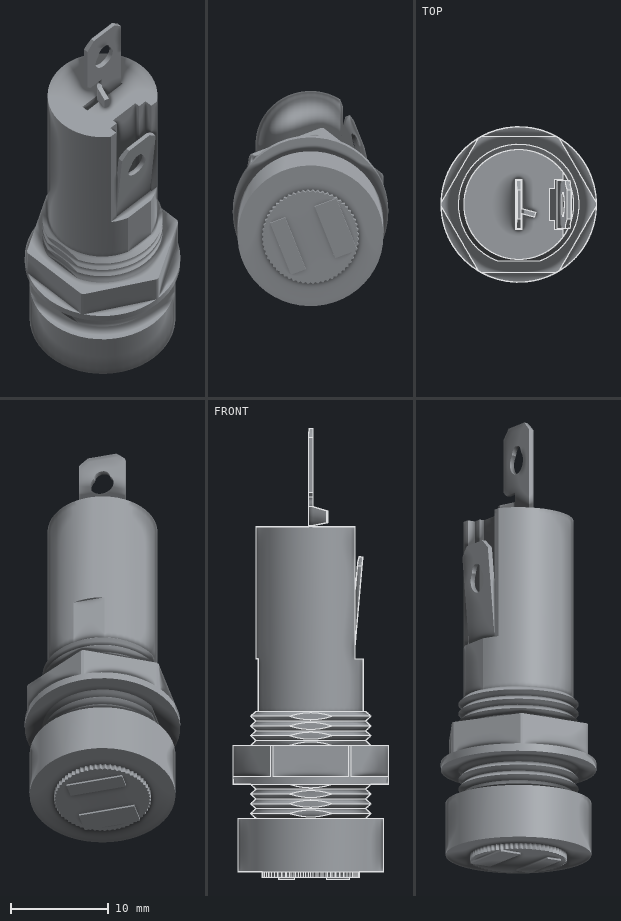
import cadquery as cq
import math


total_height = 46.4
mark_height = 0.2
knurl_height = 0.6
head_height = 5.5
thread_length = 11.0
washer_gap = 3.5
washer_thickness = 0.8
nut_height = 3.2
body_length = 30.0
flat_length = 5.4

knurl_bottom = mark_height
head_bottom = knurl_bottom + knurl_height
head_top = head_bottom + head_height
washer_bottom = head_top + washer_gap
nut_bottom = washer_bottom + washer_thickness
thread_top = head_top + thread_length
ledge_level = thread_top + flat_length
body_top = head_top + body_length

head_diameter = 15.0
washer_diameter = 16.0
nut_across_flats = 14.0
nut_corner_diameter = 16.0
nut_turn = 30.0
body_radius = 5.65
thread_radius = 6.2
thread_pitch = 1.0
thread_flat_distance = 5.8
body_flat_distance = 5.4
contact_flat_distance = 4.55

knurl_radius = 5.0
knurl_depth = 0.2
knurl_teeth = 60
mark_length = 5.9
mark_spans = [(-3.3, -1.65), (1.6, 4.0)]

blade_width = 4.9
blade_thickness = 0.5
tip_chamfer = 0.95
tip_bevel_height = 0.6
tip_bevel_depth = 0.1
hole_below_tip = 3.9
hole_radius = 1.25
hole_top_radius = 0.85
hole_top_offset = 0.9

terminal_slot_length = 5.1
terminal_slot_width = 0.7
terminal_slot_depth = 3.0
shoulder_below_tip = 7.05
shoulder_chamfer = 0.45
leg_edge = -0.3

tab_bend_radius = 0.65
tab_slope = 15.0
tab_reach = 1.75
tab_root_bottom = 0.1
tab_root_top = 2.05
tab_end_bottom = 0.4
tab_end_top = 1.6

contact_tip_level = 33.2
contact_tilt = 5.0
contact_foot = 3.95
contact_embed = 1.0
pocket_inner = 3.7
pocket_width = 5.1
relief_inner = 3.15
relief_width = 3.25

margin = 1.0
big = 2 * washer_diameter


def cylinder(diameter, bottom, height):
    return cq.Workplane("XY").workplane(offset=bottom).circle(diameter / 2).extrude(height)


def block(x_range, y_range, z_range):
    size = [high - low for low, high in (x_range, y_range, z_range)]
    corner = (x_range[0], y_range[0], z_range[0])
    return cq.Workplane("XY").box(*size, centered=False).translate(corner)


def make_marks():
    """Raised bars on the outer face of the knurled disc."""
    marks = cq.Workplane("XY")
    half = mark_length / 2
    for span in mark_spans:
        marks = marks.add(block(span, (-half, half), (0, mark_height)))
    return marks.combine()


def make_knurl():
    """Disc with V-shaped teeth round its rim."""
    half_step = math.pi / knurl_teeth
    points = []
    for i in range(2 * knurl_teeth):
        radius = knurl_radius - knurl_depth * (i % 2)
        angle = i * half_step
        points.append((radius * math.cos(angle), radius * math.sin(angle)))
    return cq.Workplane("XY").workplane(offset=knurl_bottom).polyline(points).close().extrude(knurl_height)


def make_thread():
    """Ring-shaped thread crests, with one flat on the -Y side."""
    points = [(0, head_top), (body_radius, head_top)]
    for i in range(round(thread_length / thread_pitch)):
        root = head_top + i * thread_pitch
        points.append((thread_radius, root + thread_pitch / 2))
        points.append((body_radius, root + thread_pitch))
    points.append((0, thread_top))
    thread = cq.Workplane("XZ").polyline(points).close().revolve(360, (0, 0, 0), (0, 1, 0))
    return thread.intersect(block((-big, big), (-thread_flat_distance, big), (0, total_height)))


def make_nut():
    """Hexagon nut with its corners turned down, on a plain washer."""
    hexagon = (
        cq.Workplane("XY")
        .workplane(offset=nut_bottom)
        .polygon(6, nut_across_flats, circumscribed=True)
        .extrude(nut_height)
        .rotate((0, 0, 0), (0, 0, 1), nut_turn)
    )
    nut = hexagon.intersect(cylinder(nut_corner_diameter, nut_bottom, nut_height))
    return nut.union(cylinder(washer_diameter, washer_bottom, washer_thickness))


def make_body():
    """Round barrel with side flats, a contact pocket and a terminal slot."""
    body = cylinder(2 * body_radius, head_top, body_length)
    above = (ledge_level, body_top + margin)
    below = (thread_top, ledge_level)
    everywhere = (-big, big)
    body = body.cut(block((-big, -body_flat_distance), everywhere, below))
    body = body.cut(block((body_flat_distance, big), everywhere, below))
    body = body.cut(block((contact_flat_distance, big), everywhere, above))
    body = body.cut(block((pocket_inner, big), (-pocket_width / 2, pocket_width / 2), above))
    body = body.cut(block((relief_inner, big), (-relief_width / 2, relief_width / 2), above))
    slot = block(
        (-terminal_slot_width / 2, terminal_slot_width / 2),
        (-terminal_slot_length / 2, terminal_slot_length / 2),
        (body_top - terminal_slot_depth, body_top + margin),
    )
    return body.cut(slot)


def make_blade(length):
    """Upright blade in the YZ plane, tip at Z = 0, with a keyhole-shaped eye."""
    half = blade_width / 2
    blade = (
        cq.Workplane("YZ")
        .rect(blade_width, 2 * length)
        .extrude(blade_thickness / 2, both=True)
        .intersect(block((-big, big), (-half, half), (-length, 0)))
        .edges("|X and >Z")
        .chamfer(tip_chamfer)
    )
    face = -blade_thickness / 2
    bevel = (
        cq.Workplane("XZ")
        .polyline([(face, 0), (face + tip_bevel_depth, 0), (face, -tip_bevel_height)])
        .close()
        .extrude(blade_width, both=True)
    )
    eye_circles = [(-hole_below_tip, hole_radius), (hole_top_offset - hole_below_tip, hole_top_radius)]
    blade = blade.cut(bevel)
    for level, radius in eye_circles:
        eye = cq.Workplane("YZ").center(0, level).circle(radius).extrude(blade_thickness, both=True)
        blade = blade.cut(eye)
    return blade


def make_tab():
    """Tapered tab that curls from the leg edge towards +X."""
    slope = math.radians(tab_slope)
    inner_radius = tab_bend_radius - blade_thickness
    center_x = tab_bend_radius - blade_thickness / 2

    def on_bend(radius, angle):
        return (center_x - radius * math.cos(angle), leg_edge - radius * math.sin(angle))

    bend = math.pi / 2 - slope
    outer_end = on_bend(tab_bend_radius, bend)
    inner_end = on_bend(inner_radius, bend)
    run = (tab_reach - inner_end[0]) / math.cos(slope)
    step = (run * math.cos(slope), -run * math.sin(slope))
    strip = (
        cq.Workplane("XY")
        .workplane(offset=body_top)
        .moveTo(*on_bend(tab_bend_radius, 0))
        .threePointArc(on_bend(tab_bend_radius, bend / 2), outer_end)
        .lineTo(outer_end[0] + step[0], outer_end[1] + step[1])
        .lineTo(inner_end[0] + step[0], inner_end[1] + step[1])
        .lineTo(*inner_end)
        .threePointArc(on_bend(inner_radius, bend / 2), on_bend(inner_radius, 0))
        .close()
        .extrude(tab_root_top)
    )
    root_x = blade_thickness / 2
    taper = (
        cq.Workplane("XZ")
        .polyline([
            (-root_x, body_top + tab_root_bottom),
            (root_x, body_top + tab_root_bottom),
            (tab_reach, body_top + tab_end_bottom),
            (tab_reach, body_top + tab_end_top),
            (root_x, body_top + tab_root_top),
            (-root_x, body_top + tab_root_top),
        ])
        .close()
        .extrude(big, both=True)
    )
    return strip.intersect(taper)


def make_terminal():
    """Centre blade standing in the slot, narrowed to a leg below its shoulder."""
    length = total_height - body_top + terminal_slot_depth
    notch = block((-big, big), (-big, leg_edge), (-length - margin, -shoulder_below_tip))
    edge = -blade_width / 2
    shoulder_corner = (
        cq.Workplane("YZ")
        .polyline([
            (edge, -shoulder_below_tip),
            (edge + shoulder_chamfer, -shoulder_below_tip),
            (edge, -shoulder_below_tip + shoulder_chamfer),
        ])
        .close()
        .extrude(blade_thickness, both=True)
    )
    blade = make_blade(length).cut(notch).cut(shoulder_corner)
    return blade.translate((0, 0, total_height)).union(make_tab())


def make_contact():
    """Side blade rising from the ledge and leaning outwards."""
    tilt = math.radians(contact_tilt)
    rise = contact_tip_level - ledge_level
    length = rise / math.cos(tilt)
    foot_center = contact_foot + blade_thickness / 2 / math.cos(tilt)
    tip_x = foot_center + rise * math.tan(tilt)
    blade = make_blade(length + contact_embed)
    leaning = blade.rotate((0, 0, 0), (0, 1, 0), contact_tilt)
    return leaning.translate((tip_x, 0, contact_tip_level))


result = (
    cylinder(head_diameter, head_bottom, head_height)
    .union(make_knurl())
    .union(make_marks())
    .union(make_thread())
    .union(make_nut())
    .union(make_body())
    .union(make_terminal())
    .union(make_contact())
)